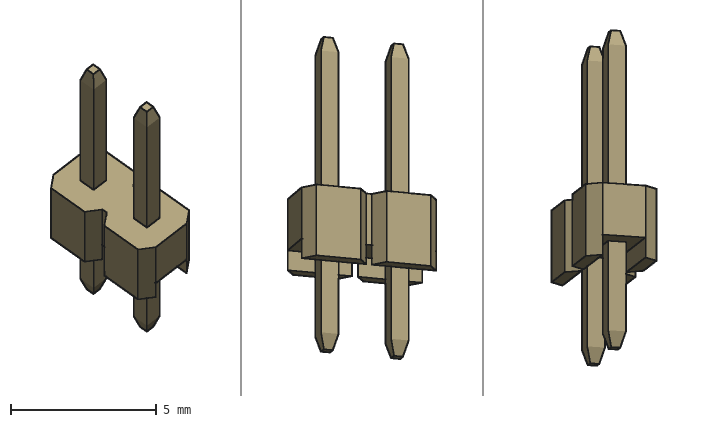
import cadquery as cq

pin_count = 2
pitch = 2.54
pin_length = 11.2
pin_width = 0.64
tip_length = 0.55
tip_width = 0.32

body_length = 4.88
body_width = 2.54
body_height = 2.54
body_bottom = 3.0
block_length = body_length - (pin_count - 1) * pitch
chamfer_x = 0.37
chamfer_y = 0.5
waist_width = body_width - 2 * chamfer_y

channel_depth = 0.7

pin_centers = [(i - (pin_count - 1) / 2) * pitch for i in range(pin_count)]


def make_block(center_x):
    """Octagonal block around one pin."""
    end_x = block_length / 2
    side_y = body_width / 2
    flat_x = end_x - chamfer_x
    flat_y = side_y - chamfer_y
    outline = [
        (end_x, -flat_y), (end_x, flat_y), (flat_x, side_y), (-flat_x, side_y),
        (-end_x, flat_y), (-end_x, -flat_y), (-flat_x, -side_y), (flat_x, -side_y),
    ]
    block = cq.Workplane("XY").polyline(outline).close().extrude(body_height)
    return block.translate((center_x, 0, body_bottom))


def make_body():
    """Joined blocks with the open channel cut along the underside."""
    first, last = pin_centers[0], pin_centers[-1]
    body = (
        cq.Workplane("XY")
        .box(last - first, waist_width, body_height, centered=(True, True, False))
        .translate((0, 0, body_bottom))
    )
    for center_x in pin_centers:
        body = body.union(make_block(center_x))
    channel = (
        cq.Workplane("XY")
        .box(body_length, waist_width, channel_depth, centered=(True, True, False))
        .translate((0, 0, body_bottom))
    )
    return body.cut(channel)


def make_tip(base_z, direction):
    """Square taper running from base_z up (+1) or down (-1)."""
    return (
        cq.Workplane("XY", origin=(0, 0, base_z))
        .rect(pin_width, pin_width)
        .workplane(offset=direction * tip_length)
        .rect(tip_width, tip_width)
        .loft(ruled=True)
    )


def make_pin(center_x):
    """Square pin with a tapered tip at each end."""
    shank_top = pin_length - tip_length
    shank = (
        cq.Workplane("XY", origin=(0, 0, tip_length))
        .rect(pin_width, pin_width)
        .extrude(shank_top - tip_length)
    )
    pin = shank.union(make_tip(shank_top, 1)).union(make_tip(tip_length, -1))
    return pin.translate((center_x, 0, 0))


result = make_body()
for pin_x in pin_centers:
    result = result.union(make_pin(pin_x))